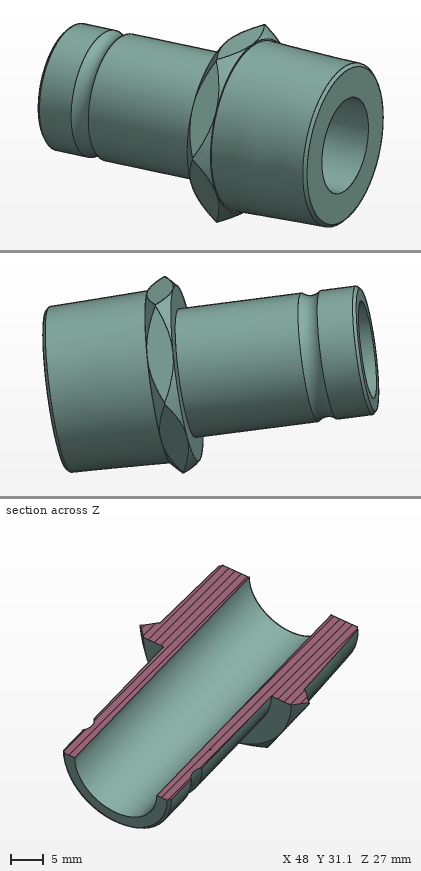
import cadquery as cq
import math

total_length = 48.0
bore_diameter = 15.0

tube_diameter = 19.8
tube_chamfer = 0.5
groove_center = 7.45
groove_width = 3.0
groove_depth = 0.6

hex_start = 27.95
hex_width = 4.05
hex_across_flats = 27.0

taper_large_diameter = 26.5
taper_small_diameter = 25.5
taper_chamfer = 0.5

hex_end = hex_start + hex_width


def cylinder(diameter, start, end):
    """Solid cylinder along X between two positions."""
    return cq.Workplane("YZ", origin=(start, 0, 0)).circle(diameter / 2).extrude(end - start)


def revolve_about_x(outline):
    """Turn a closed XY outline around the X axis."""
    return outline.close().revolve(360, (0, 0, 0), (1, 0, 0))


def make_tube():
    """Tube with a chamfered mouth and a rounded groove around the outside."""
    radius = tube_diameter / 2
    outline = (
        cq.Workplane("XY")
        .moveTo(0, 0)
        .lineTo(0, radius - tube_chamfer)
        .lineTo(tube_chamfer, radius)
        .lineTo(groove_center - groove_width / 2, radius)
        .threePointArc(
            (groove_center, radius - groove_depth),
            (groove_center + groove_width / 2, radius),
        )
        .lineTo(hex_end, radius)
        .lineTo(hex_end, 0)
    )
    return revolve_about_x(outline)


def make_hex_collar():
    """Hexagon with corners along Y, trimmed by two 45 degree cones."""
    corner_diameter = hex_across_flats / math.cos(math.pi / 6)
    hexagon = (
        cq.Workplane("YZ", origin=(hex_start, 0, 0))
        .polygon(6, corner_diameter)
        .extrude(hex_width)
    )
    face_radius = hex_across_flats / 2
    bevel = hex_width / 2
    outline = (
        cq.Workplane("XY")
        .moveTo(hex_start, 0)
        .lineTo(hex_start, face_radius)
        .lineTo(hex_start + bevel, face_radius + bevel)
        .lineTo(hex_end, face_radius)
        .lineTo(hex_end, 0)
    )
    return hexagon.intersect(revolve_about_x(outline))


def make_tapered_end():
    """Cone narrowing towards the far end, chamfered at its rim."""
    small_radius = taper_small_diameter / 2
    outline = (
        cq.Workplane("XY")
        .moveTo(hex_end, 0)
        .lineTo(hex_end, taper_large_diameter / 2)
        .lineTo(total_length - taper_chamfer, small_radius)
        .lineTo(total_length, small_radius - taper_chamfer)
        .lineTo(total_length, 0)
    )
    return revolve_about_x(outline)


body = make_tube().union(make_hex_collar()).union(make_tapered_end())
result = body.cut(cylinder(bore_diameter, 0, total_length))